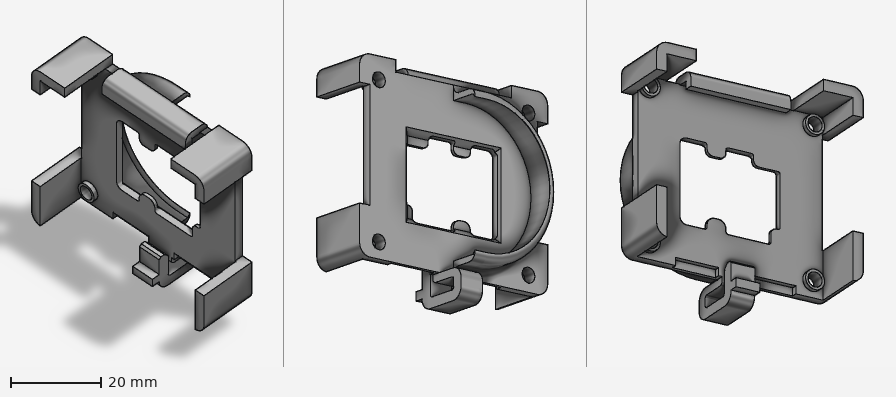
import cadquery as cq
import math


plate_half_width = 23.8
plate_height = 44.1
plate_thickness = 2.35

overall_width = 53.45
guard_half_width = overall_width / 2
guard_top = 47.0
guard_reach = 15.3
guard_inner_half_width = 24.0
guard_inner_top = 44.2
guard_radius = guard_half_width - plate_half_width
guard_arm_end = 16.45
upper_guard_bottom = 39.95
lower_guard_top = 12.0

boss_x = 21.25
boss_levels = (4.0, 41.5)
boss_diameter = 4.9
boss_height = 1.2
hole_diameter = 3.6

window_half_width = 12.95
window_bottom = 10.5
window_top = 31.45
window_radius = 1.65
tab_left = -5.95
tab_right = -1.1
tab_radius = 1.4
lower_tab_top = 13.65
lower_tab_radius = 1.95
upper_tab_bottom = 28.55
step_top_x = 6.05
step_bottom_x = 10.55
step_bottom_z = 14.6
small_radius = 0.65

bevel_margin = 0.55
bevel_angle = 45
tab_thickness = 0.9

rim_x = -3.4
rim_z = 21.95
rim_radius = 20.05
rim_wall = 1.5
rim_depth = 7.7
rim_end = 0.05
rim_round = 2.2
rim_foot_radius = 1.85
lip_depth = 0.8
lip_angle = 45

rail_top = 46.05
rail_bottom = 41.95
rail_reach = 7.0
rail_thickness = 2.15
rail_radius = 2.1

notch_spans = ((-14.1, -3.0), (4.9, 17.0))
notch_height = 1.95
notch_depth = 1.35

latch_left = -2.1
latch_right = 4.05
latch_rear = rim_depth
latch_bottom = -7.6
latch_front = -6.2
latch_top = 2.5
latch_round = 2.85
slot_rear = 5.0
slot_front = -3.3
slot_top = -1.95
slot_bottom = -5.0
slot_round = 0.7
root_round = 1.0
nub_front = -8.4
nub_top = -2.5
nub_bottom = -4.7
latch_front_chamfer = 0.55
latch_rear_chamfer = 1.3


def box(x_range, y_range, z_range):
    """Box between two limits on each axis."""
    lows, highs = zip(x_range, y_range, z_range)
    size = [high - low for low, high in zip(lows, highs)]
    return cq.Workplane("XY").box(*size, centered=False).translate(lows)


def rounded_outline(plane, corners):
    """Closed outline from (u, v, radius) corners; a radius of 0 keeps the corner sharp."""
    outline = None
    for index, (u, v, radius) in enumerate(corners):
        corner = cq.Vector(u, v)
        to_last = (cq.Vector(*corners[index - 1][:2]) - corner).normalized()
        to_next = (cq.Vector(*corners[(index + 1) % len(corners)][:2]) - corner).normalized()
        half_angle = to_last.getAngle(to_next) / 2
        setback = radius / math.tan(half_angle)
        start = (corner + to_last * setback).toTuple()[:2]
        end = (corner + to_next * setback).toTuple()[:2]
        outline = outline.lineTo(*start) if outline else cq.Workplane(plane).moveTo(*start)
        if radius:
            inward = (to_last + to_next).normalized()
            middle = corner + inward * (radius / math.sin(half_angle) - radius)
            outline = outline.threePointArc(middle.toTuple()[:2], end)
    return outline.close()


def make_guards():
    """Four corner guards, the upper pair wrapping over the top of the plate."""
    shell = (
        box((-guard_half_width, guard_half_width), (-guard_reach, 0), (0, guard_top))
        .edges("|Y")
        .fillet(guard_radius)
    )
    inside = box(
        (-guard_inner_half_width, guard_inner_half_width),
        (-guard_reach, -plate_thickness),
        (0, guard_inner_top),
    )
    side_gap = box(
        (-guard_half_width, guard_half_width), (-guard_reach, 0), (lower_guard_top, upper_guard_bottom)
    )
    top_gap = box((-guard_arm_end, guard_arm_end), (-guard_reach, 0), (0, guard_top))
    return shell.cut(inside).cut(side_gap).cut(top_gap)


def make_window():
    """Cutter for the central opening with its tabs and corner steps."""
    corners = [
        (-window_half_width, window_bottom, window_radius),
        (tab_left, window_bottom, small_radius),
        (tab_left, lower_tab_top, lower_tab_radius),
        (tab_right, lower_tab_top, lower_tab_radius),
        (tab_right, window_bottom, small_radius),
        (step_bottom_x, window_bottom, small_radius),
        (step_bottom_x, step_bottom_z, tab_radius),
        (window_half_width, step_bottom_z, small_radius),
        (window_half_width, upper_tab_bottom, small_radius),
        (step_top_x, upper_tab_bottom, tab_radius),
        (step_top_x, window_top, small_radius),
        (tab_right, window_top, small_radius),
        (tab_right, upper_tab_bottom, tab_radius),
        (tab_left, upper_tab_bottom, tab_radius),
        (tab_left, window_top, small_radius),
        (-window_half_width, window_top, window_radius),
    ]
    return rounded_outline("XZ", corners).extrude(plate_thickness)


def make_bevel():
    """Cutter with sloping sides that thins the rear of the window edges and tabs."""
    width = 2 * (window_half_width + bevel_margin)
    height = window_top - window_bottom + 2 * bevel_margin
    middle = (window_top + window_bottom) / 2
    depth = plate_thickness - tab_thickness
    return cq.Workplane("XZ").center(0, middle).rect(width, height).extrude(depth, taper=bevel_angle)


def rim_outline(radius, end, level):
    """Half disc about the rim centre, carried on straight to X = end, at Y = level."""
    return (
        cq.Workplane("ZX", origin=(0, level, 0))
        .moveTo(rim_z - radius, end)
        .lineTo(rim_z - radius, rim_x)
        .threePointArc((rim_z, rim_x - radius), (rim_z + radius, rim_x))
        .lineTo(rim_z + radius, end)
        .close()
    )


def make_rimmed_plate():
    """Plate with the hollow rim on its rear face, filleted at the foot."""
    plate = box((-plate_half_width, plate_half_width), (-plate_thickness, 0), (0, plate_height))
    disc = rim_outline(rim_radius, rim_end, 0).extrude(rim_depth)
    disc = disc.faces(">Y").edges("not |Z").fillet(rim_round)
    inset = rim_z - rim_radius
    foot = cq.selectors.BoxSelector(
        (rim_x - rim_radius, -inset / 2, inset / 2),
        (rim_end - inset / 2, inset / 2, plate_height - inset / 2),
    )
    body = plate.union(disc).edges(foot).fillet(rim_foot_radius)

    inner_radius = rim_radius - rim_wall
    lip_start = rim_depth - lip_depth
    cavity = rim_outline(inner_radius, plate_half_width, 0).extrude(lip_start)
    lip_opening = rim_outline(inner_radius, plate_half_width, lip_start).extrude(lip_depth, taper=lip_angle)
    return body.cut(cavity).cut(lip_opening)


def make_rail():
    """Hooked rail along the top edge of the plate."""
    underside = rail_top - rail_thickness
    corners = [
        (0, underside, 0),
        (0, rail_top, rail_radius),
        (-rail_reach, rail_top, rail_radius),
        (-rail_reach, rail_bottom, 0),
        (rail_thickness - rail_reach, rail_bottom, 0),
        (rail_thickness - rail_reach, underside, 0),
    ]
    return rounded_outline("YZ", corners).extrude(window_half_width, both=True)


def make_latch():
    """Looped spring latch hanging below the plate, with a release nub."""
    corners = [
        (-plate_thickness, 0, 0),
        (latch_rear, 0, latch_round),
        (latch_rear, latch_bottom, latch_round),
        (latch_front, latch_bottom, latch_round),
        (latch_front, nub_bottom, 0),
        (nub_front, nub_bottom, 0),
        (nub_front, nub_top, 0),
        (latch_front, nub_top, 0),
        (latch_front, latch_top - latch_front_chamfer, 0),
        (latch_front + latch_front_chamfer, latch_top, 0),
        (slot_front - latch_rear_chamfer, latch_top, 0),
        (slot_front, latch_top - latch_rear_chamfer, 0),
        (slot_front, slot_bottom, slot_round),
        (slot_rear, slot_bottom, slot_round),
        (slot_rear, slot_top, slot_round),
        (-plate_thickness, slot_top, root_round),
    ]
    width = latch_right - latch_left
    return rounded_outline("YZ", corners).extrude(width).translate((latch_left, 0, 0))


def screw_cylinders(diameter):
    """Cylinders from the plate's rear face to the boss ends, one on each screw axis."""
    centres = [(side * boss_x, level) for side in (-1, 1) for level in boss_levels]
    length = plate_thickness + boss_height
    return cq.Workplane("XZ").pushPoints(centres).circle(diameter / 2).extrude(length)


def make_notch(left, right):
    """Cutter for a shallow notch in the front of the plate's bottom edge."""
    return box((left, right), (-plate_thickness, notch_depth - plate_thickness), (0, notch_height))


result = make_rimmed_plate()
for addition in (make_guards(), screw_cylinders(boss_diameter), make_rail(), make_latch()):
    result = result.union(addition)
for left, right in notch_spans:
    result = result.cut(make_notch(left, right))
for cutter in (make_window(), make_bevel(), screw_cylinders(hole_diameter)):
    result = result.cut(cutter)